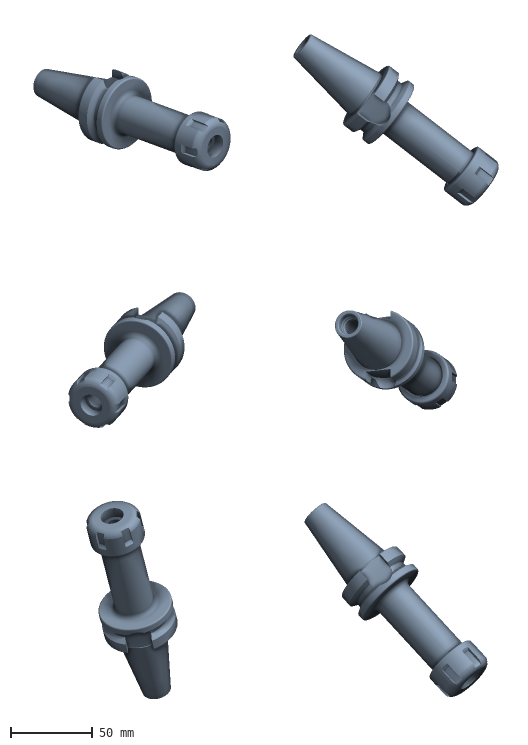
import cadquery as cq
import math

LENGTH = 143.6

TAPER_LENGTH = 48.8
TAPER_SMALL_RADIUS = 8.9
TAPER_LARGE_RADIUS = 16.0
UNDERCUT_DEPTH = 0.3
TAPER_TIP_CHAMFER = 0.5
PILOT_RADIUS = 6.3
PILOT_DEPTH = 4.3
MOUTH_ROUND = 0.9
STEP_RADIUS = 5.6
STEP_LENGTH = 0.9
BORE_RADIUS = 4.9

FLANGE_START = 50.3
FLANGE_END = 70.4
FLANGE_RADIUS = 23.0
FLANGE_ROUND = 1.0
GROOVE_RADIUS = 19.0
GROOVE_FLOOR_START = 60.2
GROOVE_FLOOR_END = 63.6
GROOVE_SIDE_ANGLE = 30.0

KEYWAY_HALF_WIDTH = 8.2
KEYWAY_END = 67.5
KEYWAY_FLOOR_HEIGHT = 16.1

SHANK_RADIUS = 12.3
SHANK_FILLET = 3.0
RELIEF_END = 124.0
RELIEF_DEPTH = 0.9

SPIGOT_RADIUS = SHANK_RADIUS - RELIEF_DEPTH
SPIGOT_END = 136.4

NUT_START = 124.6
NUT_RADIUS = 17.1
NUT_BACK_ROUND = 1.3
NUT_COUNTERSINK = 0.9
NUT_OPENING_RADIUS = 7.2
NOSE_START = 139.7
NOSE_MIDDLE = (142.5, 15.2)
NOSE_FACE_RADIUS = 12.5

SHANK_END = NUT_START + NUT_COUNTERSINK

SLOT_COUNT = 6
SLOT_WIDTH = 5.6
SLOT_FLOOR_RADIUS = 15.1
LOWER_SLOT_START = 130.7
UPPER_SLOT_START = 129.0


def revolve_about_x(profile):
    """Turn a closed (x, radius) outline about the X axis."""
    return profile.close().revolve(360, (0, 0, 0), (1, 0, 0))


def cylinder_along_x(start, end, radius):
    return cq.Workplane("YZ", origin=(start, 0, 0)).circle(radius).extrude(end - start)


def holder_blank():
    """Taper, grooved flange, shank and spigot as one turned shape."""
    groove_flare = (FLANGE_RADIUS - GROOVE_RADIUS) * math.tan(math.radians(GROOVE_SIDE_ANGLE))
    undercut_radius = TAPER_LARGE_RADIUS - UNDERCUT_DEPTH
    round_corner = FLANGE_ROUND * (1 - math.sqrt(0.5))
    fillet_middle = SHANK_FILLET * (1 - math.sqrt(0.5))
    profile = (
        cq.Workplane("XY")
        .moveTo(0, 0)
        .lineTo(0, TAPER_SMALL_RADIUS - TAPER_TIP_CHAMFER)
        .lineTo(TAPER_TIP_CHAMFER, TAPER_SMALL_RADIUS)
        .lineTo(TAPER_LENGTH, TAPER_LARGE_RADIUS)
        .lineTo(TAPER_LENGTH + UNDERCUT_DEPTH, undercut_radius)
        .lineTo(FLANGE_START, undercut_radius)
        .lineTo(FLANGE_START, FLANGE_RADIUS - FLANGE_ROUND)
        .threePointArc(
            (FLANGE_START + round_corner, FLANGE_RADIUS - round_corner),
            (FLANGE_START + FLANGE_ROUND, FLANGE_RADIUS),
        )
        .lineTo(GROOVE_FLOOR_START - groove_flare, FLANGE_RADIUS)
        .lineTo(GROOVE_FLOOR_START, GROOVE_RADIUS)
        .lineTo(GROOVE_FLOOR_END, GROOVE_RADIUS)
        .lineTo(GROOVE_FLOOR_END + groove_flare, FLANGE_RADIUS)
        .lineTo(FLANGE_END - FLANGE_ROUND, FLANGE_RADIUS)
        .threePointArc(
            (FLANGE_END - round_corner, FLANGE_RADIUS - round_corner),
            (FLANGE_END, FLANGE_RADIUS - FLANGE_ROUND),
        )
        .lineTo(FLANGE_END, SHANK_RADIUS + SHANK_FILLET)
        .threePointArc(
            (FLANGE_END + fillet_middle, SHANK_RADIUS + fillet_middle),
            (FLANGE_END + SHANK_FILLET, SHANK_RADIUS),
        )
        .lineTo(SHANK_END, SHANK_RADIUS)
        .lineTo(SHANK_END, SPIGOT_RADIUS)
        .lineTo(SPIGOT_END, SPIGOT_RADIUS)
        .lineTo(SPIGOT_END, 0)
    )
    return revolve_about_x(profile)


def holder_bore():
    """Through bore with a rounded mouth and two 45 degree steps down from the pilot to the bore."""
    round_middle = MOUTH_ROUND * (1 - math.sqrt(0.5))
    step_start = PILOT_DEPTH + PILOT_RADIUS - STEP_RADIUS
    step_end = step_start + STEP_LENGTH
    profile = (
        cq.Workplane("XY")
        .moveTo(0, 0)
        .lineTo(0, PILOT_RADIUS + MOUTH_ROUND)
        .threePointArc((round_middle, PILOT_RADIUS + round_middle), (MOUTH_ROUND, PILOT_RADIUS))
        .lineTo(PILOT_DEPTH, PILOT_RADIUS)
        .lineTo(step_start, STEP_RADIUS)
        .lineTo(step_end, STEP_RADIUS)
        .lineTo(step_end + STEP_RADIUS - BORE_RADIUS, BORE_RADIUS)
        .lineTo(SPIGOT_END, BORE_RADIUS)
        .lineTo(SPIGOT_END, 0)
    )
    return revolve_about_x(profile)


def shank_relief():
    """Half-ring cutter that bevels the shank and clears it from the nut on the +Y side."""
    profile = (
        cq.Workplane("XY")
        .moveTo(RELIEF_END - RELIEF_DEPTH, SHANK_RADIUS)
        .lineTo(RELIEF_END, SPIGOT_RADIUS)
        .lineTo(NUT_START, SPIGOT_RADIUS)
        .lineTo(NUT_START, SHANK_RADIUS)
        .close()
    )
    quarter_turn = 90
    return (
        profile.revolve(2 * quarter_turn, (0, 0, 0), (1, 0, 0))
        .rotate((0, 0, 0), (1, 0, 0), -quarter_turn)
    )


def keyway():
    """Round-ended cutter for the upper keyway, open toward the taper."""
    arc_start = KEYWAY_END - KEYWAY_HALF_WIDTH
    return (
        cq.Workplane("XY", origin=(0, 0, KEYWAY_FLOOR_HEIGHT))
        .moveTo(TAPER_LENGTH, -KEYWAY_HALF_WIDTH)
        .lineTo(arc_start, -KEYWAY_HALF_WIDTH)
        .threePointArc((KEYWAY_END, 0), (arc_start, KEYWAY_HALF_WIDTH))
        .lineTo(TAPER_LENGTH, KEYWAY_HALF_WIDTH)
        .close()
        .extrude(FLANGE_RADIUS)
    )


def make_holder():
    holder = holder_blank().cut(holder_bore()).cut(shank_relief())
    for angle in (0, 180):
        holder = holder.cut(keyway().rotate((0, 0, 0), (1, 0, 0), angle))
    return holder


def nut_blank():
    """Round nut with a rounded back edge and a domed nose."""
    round_corner = NUT_BACK_ROUND * (1 - math.sqrt(0.5))
    profile = (
        cq.Workplane("XY")
        .moveTo(NUT_START, 0)
        .lineTo(NUT_START, NUT_RADIUS - NUT_BACK_ROUND)
        .threePointArc(
            (NUT_START + round_corner, NUT_RADIUS - round_corner),
            (NUT_START + NUT_BACK_ROUND, NUT_RADIUS),
        )
        .lineTo(NOSE_START, NUT_RADIUS)
        .threePointArc(NOSE_MIDDLE, (LENGTH, NOSE_FACE_RADIUS))
        .lineTo(LENGTH, 0)
    )
    return revolve_about_x(profile)


def nut_countersink():
    """45 degree countersink that leaves an open groove around the shank."""
    profile = (
        cq.Workplane("XY")
        .moveTo(NUT_START, 0)
        .lineTo(NUT_START, SHANK_RADIUS + NUT_COUNTERSINK)
        .lineTo(SHANK_END, SHANK_RADIUS)
        .lineTo(SHANK_END, 0)
    )
    return revolve_about_x(profile)


def spanner_slot(start):
    """Cutter for the slot facing -Y: flat floor, 45 degree ramp at the closed end, open at the nose."""
    ramp_length = NUT_RADIUS - SLOT_FLOOR_RADIUS
    return (
        cq.Workplane("XY", origin=(0, 0, -SLOT_WIDTH / 2))
        .moveTo(start, -NUT_RADIUS)
        .lineTo(start + ramp_length, -SLOT_FLOOR_RADIUS)
        .lineTo(LENGTH, -SLOT_FLOOR_RADIUS)
        .lineTo(LENGTH, -NUT_RADIUS)
        .close()
        .extrude(SLOT_WIDTH)
    )


def make_nut():
    nut = nut_blank()
    nut = nut.cut(nut_countersink())
    nut = nut.cut(cylinder_along_x(SHANK_END, SPIGOT_END, SPIGOT_RADIUS))
    nut = nut.cut(cylinder_along_x(SPIGOT_END, LENGTH, NUT_OPENING_RADIUS))
    half_count = SLOT_COUNT // 2
    for index in range(SLOT_COUNT):
        start = LOWER_SLOT_START if index < half_count else UPPER_SLOT_START
        angle = index * 360 / SLOT_COUNT
        nut = nut.cut(spanner_slot(start).rotate((0, 0, 0), (1, 0, 0), angle))
    return nut


holder = make_holder()
nut = make_nut()
result = cq.Compound.makeCompound([holder.val(), nut.val()])